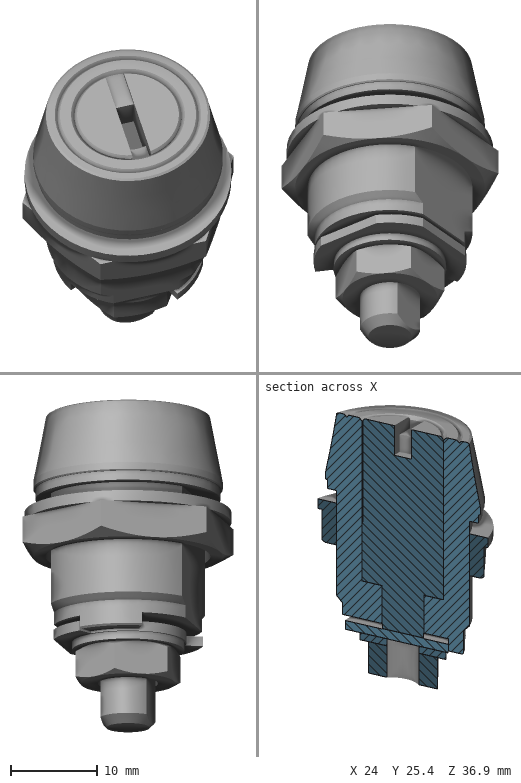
import cadquery as cq
import math

FULL_TURN = 360

TOP_Z = 36.9
CONE_BOTTOM_Z = 29.1
RIM_BOTTOM_Z = 28.15
HEAD_BOTTOM_Z = 27.1
FLANGE_TOP_Z = 25.57
FLANGE_BOTTOM_Z = 24.3
LOCKNUT_BOTTOM_Z = 20.3
BODY_CHAMFER_Z = 14.05
BODY_BOTTOM_Z = 11.8
PLATE_TOP_Z = 11.18
TAB_BOTTOM_Z = 10.3
PLATE_BOTTOM_Z = 10.05
WASHER_BOTTOM_Z = 9.15
NUT_BOTTOM_Z = 5.25

HEAD_TOP_R = 9.52
HEAD_R = 11.0
SEAT_R = 10.75
HEAD_EDGE = 0.15
HEAD_EDGE_WIDTH = 0.25
BODY_R = 9.55
NOSE_R = 8.8
BODY_HALF_FLAT = 7.85
FACE_GROOVE_R = 8.2
FACE_GROOVE_HALF_WIDTH = 0.3
BORE_EDGE = 0.4

ROTOR_R = 6.2
ROTOR_SHOULDER_Z = 16.6
ROTOR_EDGE = 0.3
NECK_R = 4.0
STUD_R = 3.5
STUD_HALF_FLAT = 2.75
STUD_TIP = 1.0
SLOT_WIDTH = 2.2
SLOT_LEFT_DEPTH = 0.37
SLOT_RIGHT_DEPTH = 1.5
KEYWAY_DEPTH = 3.7
KEYWAY_LEFT_X = -1.5

STOP_INNER_R = 6.8
TAB_HALF_ANGLE = 25.0
TAB_EDGE = 0.22
TAB_DIRECTION = -90.0
TURN_ANGLE = 90.0
PLATE_R = 8.85
PLATE_HALF_FLAT = 7.9

FLANGE_R = 12.0
LOCKNUT_HALF_FLATS = 11.0
WASHER_R = 6.53
NUT_HALF_FLATS = 5.5
HEX_SIDES = 6
HEX_CHAMFER_ANGLE = 30.0


def cylinder(radius, bottom, top):
    """Upright cylinder on the lock axis."""
    return cq.Workplane("XY").workplane(offset=bottom).circle(radius).extrude(top - bottom)


def revolved(profile):
    """Solid of revolution about Z from (radius, z) points."""
    return cq.Workplane("XZ").polyline(profile).close().revolve(FULL_TURN, (0, 0), (0, 1))


def slab(x_min, x_max, y_min, y_max, bottom, top):
    """Block between two corners."""
    size = (x_max - x_min, y_max - y_min, top - bottom)
    return cq.Workplane("XY").box(*size, centered=False).translate((x_min, y_min, bottom))


def polar(radius, angle):
    """Point at a radius and an angle in degrees from +X."""
    turn = math.radians(angle)
    return radius * math.cos(turn), radius * math.sin(turn)


def ring_sector(inner, outer, start, end, bottom, top):
    """Part of a ring between two radial faces."""
    middle = (start + end) / 2
    return (
        cq.Workplane("XY")
        .workplane(offset=bottom)
        .moveTo(*polar(inner, start))
        .lineTo(*polar(outer, start))
        .threePointArc(polar(outer, middle), polar(outer, end))
        .lineTo(*polar(inner, end))
        .threePointArc(polar(inner, middle), polar(inner, start))
        .close()
        .extrude(top - bottom)
    )


def hexagon(half_flats, bottom, top, chamfer_top):
    """Hexagon with corners on the Y axis, corners turned off below and, if asked, above."""
    corner_r = half_flats / math.cos(math.pi / HEX_SIDES)
    rise = (corner_r - half_flats) * math.tan(math.radians(HEX_CHAMFER_ANGLE))
    prism = (
        cq.Workplane("XY")
        .workplane(offset=bottom)
        .polygon(HEX_SIDES, 2 * corner_r)
        .extrude(top - bottom)
        .rotate((0, 0, 0), (0, 0, 1), 180 / HEX_SIDES)
    )
    profile = [(0, bottom), (half_flats, bottom), (corner_r, bottom + rise)]
    if chamfer_top:
        profile += [(corner_r, top - rise), (half_flats, top)]
    else:
        profile += [(corner_r, top)]
    profile += [(0, top)]
    return prism.intersect(revolved(profile))


def make_head():
    """Tapered head with its stepped seat and bevelled edges."""
    return revolved([
        (0, HEAD_BOTTOM_Z),
        (SEAT_R, HEAD_BOTTOM_Z),
        (SEAT_R, RIM_BOTTOM_Z),
        (HEAD_R - HEAD_EDGE, RIM_BOTTOM_Z),
        (HEAD_R, RIM_BOTTOM_Z + HEAD_EDGE),
        (HEAD_R, CONE_BOTTOM_Z),
        (HEAD_TOP_R, TOP_Z - HEAD_EDGE),
        (HEAD_TOP_R - HEAD_EDGE_WIDTH, TOP_Z),
        (0, TOP_Z),
    ])


def make_body():
    """Round body with a lead-in chamfer and flats facing -X and +X, and the stop tab below it."""
    chamfer = BODY_R - NOSE_R
    barrel = revolved([
        (0, TAB_BOTTOM_Z),
        (NOSE_R - TAB_EDGE, TAB_BOTTOM_Z),
        (NOSE_R, TAB_BOTTOM_Z + TAB_EDGE),
        (NOSE_R, BODY_CHAMFER_Z - chamfer),
        (BODY_R, BODY_CHAMFER_Z),
        (BODY_R, HEAD_BOTTOM_Z),
        (0, HEAD_BOTTOM_Z),
    ])
    between_flats = slab(
        -BODY_HALF_FLAT, BODY_HALF_FLAT, -BODY_R, BODY_R, TAB_BOTTOM_Z, HEAD_BOTTOM_Z
    )
    inside_tab = cylinder(STOP_INNER_R, TAB_BOTTOM_Z, BODY_BOTTOM_Z)
    beside_tab = ring_sector(
        NECK_R,
        BODY_R,
        TAB_DIRECTION + TAB_HALF_ANGLE,
        TAB_DIRECTION - TAB_HALF_ANGLE + FULL_TURN,
        TAB_BOTTOM_Z,
        BODY_BOTTOM_Z,
    )
    return barrel.intersect(between_flats).cut(inside_tab).cut(beside_tab)


def make_housing():
    """Head, body and stop tab, bored in two steps for the rotor."""
    bore = revolved([
        (0, BODY_BOTTOM_Z),
        (NECK_R, BODY_BOTTOM_Z),
        (NECK_R, ROTOR_SHOULDER_Z),
        (ROTOR_R, ROTOR_SHOULDER_Z),
        (ROTOR_R, TOP_Z - BORE_EDGE),
        (ROTOR_R + BORE_EDGE, TOP_Z),
        (0, TOP_Z),
    ])
    face_groove = revolved([
        (FACE_GROOVE_R - FACE_GROOVE_HALF_WIDTH, TOP_Z),
        (FACE_GROOVE_R, TOP_Z - FACE_GROOVE_HALF_WIDTH),
        (FACE_GROOVE_R + FACE_GROOVE_HALF_WIDTH, TOP_Z),
    ])
    return make_head().union(make_body()).cut(bore).cut(face_groove)


def cut_key_slot(rotor):
    """Slot across the face: shallow on the left, lower on the right, a deep keyway between."""
    half = SLOT_WIDTH / 2
    left = slab(-ROTOR_R, KEYWAY_LEFT_X, -half, half, TOP_Z - SLOT_LEFT_DEPTH, TOP_Z)
    right = slab(KEYWAY_LEFT_X, ROTOR_R, -half, half, TOP_Z - SLOT_RIGHT_DEPTH, TOP_Z)
    keyway_bottom = TOP_Z - KEYWAY_DEPTH
    keyway = slab(KEYWAY_LEFT_X, NECK_R, -half, half, keyway_bottom, TOP_Z)
    round_ended = keyway.intersect(cylinder(NECK_R, keyway_bottom, TOP_Z))
    return rotor.cut(left).cut(right).cut(round_ended)


def double_d(bottom, top):
    """Stud section: a cylinder with flats facing -X and +X."""
    between_flats = slab(-STUD_HALF_FLAT, STUD_HALF_FLAT, -STUD_R, STUD_R, bottom, top)
    return cylinder(STUD_R, bottom, top).intersect(between_flats)


def make_rotor():
    """Slotted rotor, its neck and the flatted stud, in one piece."""
    barrel = revolved([
        (0, PLATE_TOP_Z),
        (NECK_R, PLATE_TOP_Z),
        (NECK_R, ROTOR_SHOULDER_Z),
        (ROTOR_R, ROTOR_SHOULDER_Z),
        (ROTOR_R, TOP_Z - ROTOR_EDGE),
        (ROTOR_R - ROTOR_EDGE, TOP_Z),
        (0, TOP_Z),
    ])
    pointed = revolved([
        (0, 0),
        (STUD_R - STUD_TIP, 0),
        (STUD_R, STUD_TIP),
        (STUD_R, PLATE_TOP_Z),
        (0, PLATE_TOP_Z),
    ])
    stud = double_d(0, PLATE_TOP_Z).intersect(pointed)
    return cut_key_slot(barrel.union(stud))


def make_locknut():
    """Flange nut that clamps the housing in its panel."""
    flange = cylinder(FLANGE_R, FLANGE_BOTTOM_Z, FLANGE_TOP_Z)
    hexagon_part = hexagon(LOCKNUT_HALF_FLATS, LOCKNUT_BOTTOM_Z, FLANGE_BOTTOM_Z, False)
    return flange.union(hexagon_part).cut(cylinder(BODY_R, LOCKNUT_BOTTOM_Z, FLANGE_TOP_Z))


def make_stop_plate():
    """Plate keyed to the stud, with a notch that lets it turn a quarter against the tab."""
    disc = cylinder(PLATE_R, PLATE_BOTTOM_Z, PLATE_TOP_Z)
    inside_flats = slab(
        -PLATE_HALF_FLAT, PLATE_R, -PLATE_R, PLATE_HALF_FLAT, PLATE_BOTTOM_Z, PLATE_TOP_Z
    )
    notch = ring_sector(
        STOP_INNER_R,
        BODY_R,
        TAB_DIRECTION - TAB_HALF_ANGLE,
        TAB_DIRECTION + TAB_HALF_ANGLE + TURN_ANGLE,
        PLATE_BOTTOM_Z,
        PLATE_TOP_Z,
    )
    return disc.intersect(inside_flats).cut(notch).cut(double_d(PLATE_BOTTOM_Z, PLATE_TOP_Z))


def make_washer():
    """Plain washer under the stop plate."""
    disc = cylinder(WASHER_R, WASHER_BOTTOM_Z, PLATE_BOTTOM_Z)
    return disc.cut(cylinder(STUD_R, WASHER_BOTTOM_Z, PLATE_BOTTOM_Z))


def make_nut():
    """Hexagon nut on the stud."""
    blank = hexagon(NUT_HALF_FLATS, NUT_BOTTOM_Z, WASHER_BOTTOM_Z, True)
    return blank.cut(cylinder(STUD_R, NUT_BOTTOM_Z, WASHER_BOTTOM_Z))


housing = make_housing()
rotor = make_rotor()
locknut = make_locknut()
stop_plate = make_stop_plate()
washer = make_washer()
nut = make_nut()

result = cq.Compound.makeCompound([
    housing.solids().val(),
    rotor.solids().val(),
    locknut.solids().val(),
    stop_plate.solids().val(),
    washer.solids().val(),
    nut.solids().val(),
])